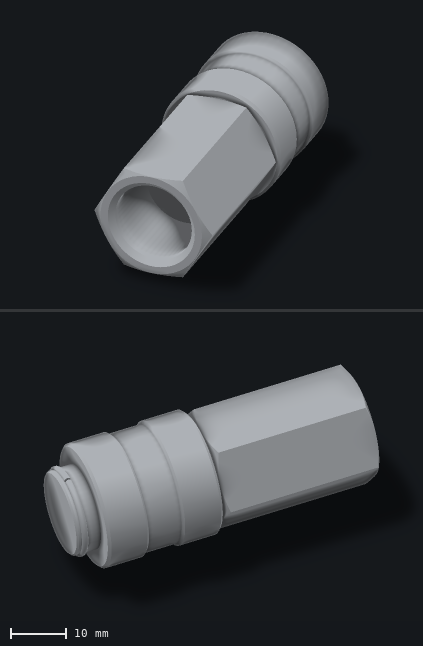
import cadquery as cq
import math

total_length = 58.0

hex_length = 30.5
across_flats = 20.0
hex_end_radius = 9.9
hex_chamfer_angle = 30.0
bore_radius = 7.5
bore_depth = 15.1
bore_mouth_radius = 8.5

sleeve_back = 53.4
sleeve_front = 31.05
sleeve_radius = 11.745
band_length = 8.05
edge_chamfer = 0.5
waist_radius = sleeve_radius - edge_chamfer
collar_radius = 9.9

spigot_radius = 8.0
spigot_chamfer = 0.35
ring_wire_radius = 0.65
ring_wire_offset = 7.9
ring_position = total_length - 1.5
ring_gap = 0.4


def revolve_about_y(profile):
    """Turn a closed (radius, Y) outline about the Y axis."""
    return profile.close().revolve(360, (0, 0, 0), (0, 1, 0))


def make_hexagon():
    """Hexagonal bar with flats facing +Z and -Z and conical chamfers at both ends."""
    corner_radius = across_flats / math.sqrt(3)
    bar = cq.Workplane("XZ").polygon(6, 2 * corner_radius).extrude(-hex_length)
    chamfer_length = (corner_radius - hex_end_radius) * math.tan(math.radians(hex_chamfer_angle))
    envelope = revolve_about_y(
        cq.Workplane("XY")
        .moveTo(0, 0)
        .lineTo(hex_end_radius, 0)
        .lineTo(corner_radius, chamfer_length)
        .lineTo(corner_radius, hex_length - chamfer_length)
        .lineTo(hex_end_radius, hex_length)
        .lineTo(0, hex_length)
    )
    return bar.intersect(envelope)


def make_sleeve_and_spigot():
    """Turned collar, grip sleeve and spigot."""
    waist_front = sleeve_front + band_length
    waist_back = sleeve_back - band_length
    return revolve_about_y(
        cq.Workplane("XY")
        .moveTo(0, hex_length)
        .lineTo(collar_radius, hex_length)
        .lineTo(collar_radius, sleeve_front)
        .lineTo(waist_radius, sleeve_front)
        .lineTo(sleeve_radius, sleeve_front + edge_chamfer)
        .lineTo(sleeve_radius, waist_front - edge_chamfer)
        .lineTo(waist_radius, waist_front)
        .lineTo(waist_radius, waist_back)
        .lineTo(sleeve_radius, waist_back + edge_chamfer)
        .lineTo(sleeve_radius, sleeve_back - edge_chamfer)
        .lineTo(waist_radius, sleeve_back)
        .lineTo(spigot_radius, sleeve_back)
        .lineTo(spigot_radius, total_length - spigot_chamfer)
        .lineTo(spigot_radius - spigot_chamfer, total_length)
        .lineTo(0, total_length)
    )


def make_bore():
    """Blind bore with a 45 degree countersunk mouth."""
    return revolve_about_y(
        cq.Workplane("XY")
        .moveTo(0, 0)
        .lineTo(bore_mouth_radius, 0)
        .lineTo(bore_radius, bore_mouth_radius - bore_radius)
        .lineTo(bore_radius, bore_depth)
        .lineTo(0, bore_depth)
    )


def make_full_ring():
    """Unsplit round-wire ring, which is also the shape of its seat."""
    wire = cq.Workplane("XY").center(ring_wire_offset, ring_position).circle(ring_wire_radius)
    return wire.revolve(360, (-ring_wire_offset, 0, 0), (-ring_wire_offset, 1, 0))


def make_coupling_body():
    body = make_hexagon().union(make_sleeve_and_spigot())
    return body.cut(make_bore()).cut(make_full_ring())


def make_snap_ring():
    """Round-wire ring with a narrow split at the +Z side."""
    outer_radius = ring_wire_offset + ring_wire_radius
    split = (
        cq.Workplane("XY")
        .box(ring_gap, 4 * ring_wire_radius, 2 * outer_radius, centered=(True, True, False))
        .translate((0, ring_position, 0))
    )
    return make_full_ring().cut(split)


coupling_body = make_coupling_body()
snap_ring = make_snap_ring()

result = cq.Compound.makeCompound([coupling_body.val(), snap_ring.val()])